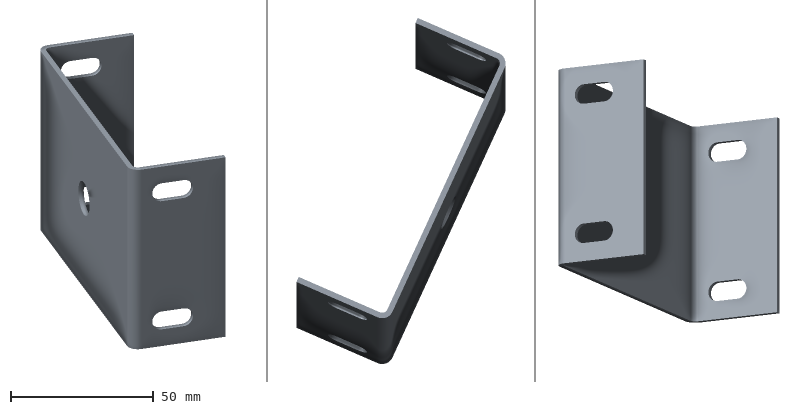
import cadquery as cq

width = 104.0
depth = 35.0
height = 70.0
thickness = 2.0
bend_outer_radius = 4.0
bend_inner_radius = bend_outer_radius - thickness

hole_diameter = 12.5

slot_length = 15.0
slot_width = 7.0
slot_setback = 15.5
slot_spacing = 50.0


def make_channel():
    """U-shaped sheet: web on the -Y side, flanges running toward +Y."""
    outer = (
        cq.Workplane("XY")
        .box(width, depth, height, centered=(True, False, True))
        .edges("|Z and <Y")
        .fillet(bend_outer_radius)
    )
    inner = (
        cq.Workplane("XY")
        .box(width - 2 * thickness, depth, height, centered=(True, False, True))
        .edges("|Z and <Y")
        .fillet(bend_inner_radius)
        .translate((0, thickness, 0))
    )
    return outer.cut(inner)


def make_web_hole():
    """Cutter for the round hole in the middle of the web."""
    return cq.Workplane("XZ").circle(hole_diameter / 2).extrude(-depth)


def make_flange_slots():
    """Cutter for the slots, passing through both flanges."""
    slot_centers = [(slot_setback, side * slot_spacing / 2) for side in (-1, 1)]
    return (
        cq.Workplane("YZ")
        .pushPoints(slot_centers)
        .slot2D(slot_length, slot_width)
        .extrude(width, both=True)
    )


result = make_channel().cut(make_web_hole()).cut(make_flange_slots())